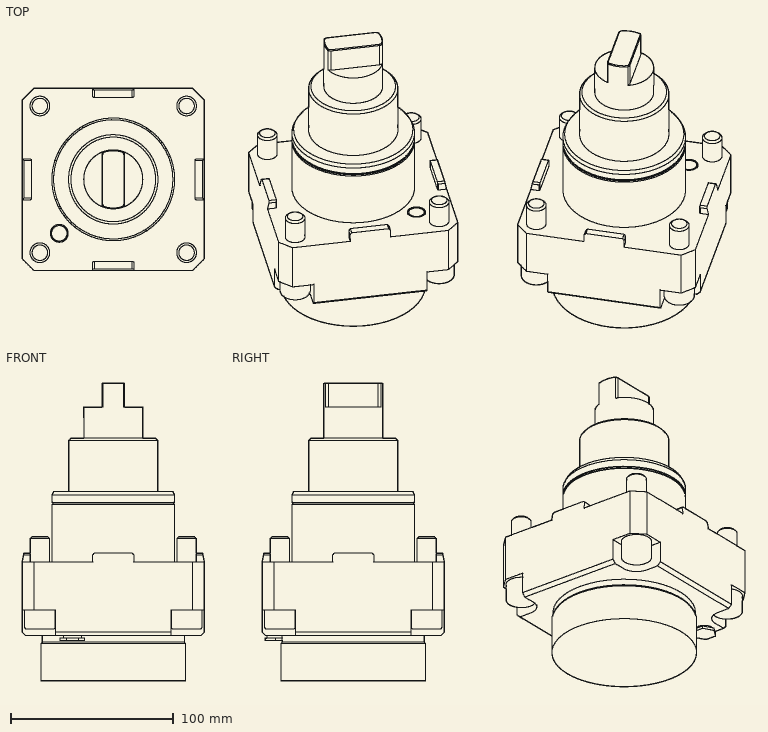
import cadquery as cq

housing_side = 112.0
housing_bottom = 27.8
housing_top = 73.0
corner_chamfer = 7.3
bottom_chamfer = 2.2

pocket_side = 20.7
pocket_top = 43.5
pocket_round = 10.0

bolt_offset = 45.0
bolt_radius = 6.0
bolt_top = 88.5
bolt_chamfer = 1.3
head_radius = 9.3
head_height = 11.7
head_round = 1.1

drum_radius = 44.5
drum_top = 24.0
drum_chamfer = 1.1
neck_radius = 43.7
collar_radius = 37.7
collar_top = 116.4
collar_chamfer_height = 2.2
collar_chamfer_inset = 1.1
groove_bottom = 108.2
groove_slope_height = 0.5
groove_top = 109.6
groove_depth = 0.5
sleeve_radius = 27.5
sleeve_top = 149.0
sleeve_chamfer = 1.5
spindle_radius = 18.1
spindle_top = 168.0

blade_top = 183.0
blade_thickness = 14.0
blade_top_chamfer = 0.5
blade_end_bevel_start = 15.2
blade_end_bevel_depth = 1.0
blade_end_bevel_stop = 17.5

tab_length = 25.3
tab_width = 5.7
tab_height = 5.5
tab_outer_slope = 1.1
tab_end_chamfer = 1.1
tab_inner_corner_chamfer = 0.5

pin_offset = 33.1
pin_hole_radius = 5.5
pin_face_radius = 4.8
pin_groove_depth = 1.0

screw_x = -25.0
screw_y = -47.5
screw_corner_radius = 7.5
screw_bottom = 24.7
screw_head_height = 1.6
screw_stem_radius = 5.5

half_side = housing_side / 2
corner_signs = [(-1, -1), (-1, 1), (1, -1), (1, 1)]


def cylinder(radius, bottom, top, x=0, y=0):
    return cq.Workplane("XY", origin=(x, y, bottom)).circle(radius).extrude(top - bottom)


def make_corner_pocket(sx, sy):
    return (
        cq.Workplane("XY", origin=(sx * half_side, sy * half_side, housing_bottom))
        .rect(2 * pocket_side, 2 * pocket_side)
        .extrude(pocket_top - housing_bottom)
        .edges("|Z")
        .fillet(pocket_round)
    )


def make_housing():
    height = housing_top - housing_bottom
    block = cq.Workplane("XY", origin=(0, 0, housing_bottom)).rect(housing_side, housing_side).extrude(height)
    housing = block.edges("|Z").chamfer(corner_chamfer).faces("<Z").chamfer(bottom_chamfer)
    for sx, sy in corner_signs:
        housing = housing.cut(make_corner_pocket(sx, sy))
    return housing


def make_bolt(x, y):
    shank = cylinder(bolt_radius, pocket_top, bolt_top, x, y).faces(">Z").chamfer(bolt_chamfer)
    head = cylinder(head_radius, pocket_top - head_height, pocket_top, x, y).faces("<Z").fillet(head_round)
    return shank.union(head)


def make_turned_body():
    groove_radius = collar_radius - groove_depth
    profile = [
        (0, 0),
        (drum_radius, 0),
        (drum_radius, drum_top - drum_chamfer),
        (drum_radius - drum_chamfer, drum_top),
        (neck_radius, drum_top),
        (neck_radius, housing_bottom),
        (collar_radius, housing_bottom),
        (collar_radius, groove_bottom),
        (groove_radius, groove_bottom + groove_slope_height),
        (groove_radius, groove_top),
        (collar_radius, groove_top),
        (collar_radius, collar_top - collar_chamfer_height),
        (collar_radius - collar_chamfer_inset, collar_top),
        (sleeve_radius, collar_top),
        (sleeve_radius, sleeve_top - sleeve_chamfer),
        (sleeve_radius - sleeve_chamfer, sleeve_top),
        (spindle_radius, sleeve_top),
        (spindle_radius, spindle_top),
        (0, spindle_top),
    ]
    return cq.Workplane("XZ").polyline(profile).close().revolve(360, (0, 0, 0), (0, 1, 0))


def make_blade():
    half_thickness = blade_thickness / 2
    end_half_thickness = half_thickness - blade_end_bevel_depth
    plan = (
        cq.Workplane("XY", origin=(0, 0, spindle_top))
        .moveTo(0, spindle_radius)
        .lineTo(end_half_thickness, spindle_radius)
        .lineTo(end_half_thickness, blade_end_bevel_stop)
        .lineTo(half_thickness, blade_end_bevel_start)
        .lineTo(half_thickness, 0)
        .mirrorX()
        .mirrorY()
    )
    blade = plan.extrude(blade_top - spindle_top).intersect(cylinder(spindle_radius, spindle_top, blade_top))
    return blade.faces(">Z").chamfer(blade_top_chamfer)


def make_tab(angle):
    inner = half_side - tab_width
    section = [
        (inner, housing_top),
        (half_side, housing_top),
        (half_side - tab_outer_slope, housing_top + tab_height),
        (inner, housing_top + tab_height),
    ]
    tab = cq.Workplane("XZ").polyline(section).close().extrude(tab_length / 2, both=True)
    tab = tab.faces(">Z").edges("|X").chamfer(tab_end_chamfer)
    tab = tab.edges("|Z").chamfer(tab_inner_corner_chamfer)
    return tab.rotate((0, 0, 0), (0, 0, 1), angle)


def make_pin_groove():
    ring = cylinder(pin_hole_radius, housing_top - pin_groove_depth, housing_top)
    cone = (
        cq.Workplane("XY", origin=(0, 0, housing_top - pin_groove_depth))
        .circle(pin_hole_radius)
        .workplane(offset=pin_groove_depth)
        .circle(pin_face_radius)
        .loft()
    )
    return ring.cut(cone).translate((-pin_offset, -pin_offset, 0))


def make_hex_screw():
    head_top = screw_bottom + screw_head_height
    head = (
        cq.Workplane("XY", origin=(screw_x, screw_y, screw_bottom))
        .polygon(6, 2 * screw_corner_radius)
        .extrude(screw_head_height)
    )
    return head.union(cylinder(screw_stem_radius, head_top, housing_bottom, screw_x, screw_y))


result = make_housing().union(make_turned_body()).union(make_blade()).union(make_hex_screw())
for sign_x, sign_y in corner_signs:
    result = result.union(make_bolt(sign_x * bolt_offset, sign_y * bolt_offset))
for tab_angle in (0, 90, 180, 270):
    result = result.union(make_tab(tab_angle))
result = result.cut(make_pin_groove())